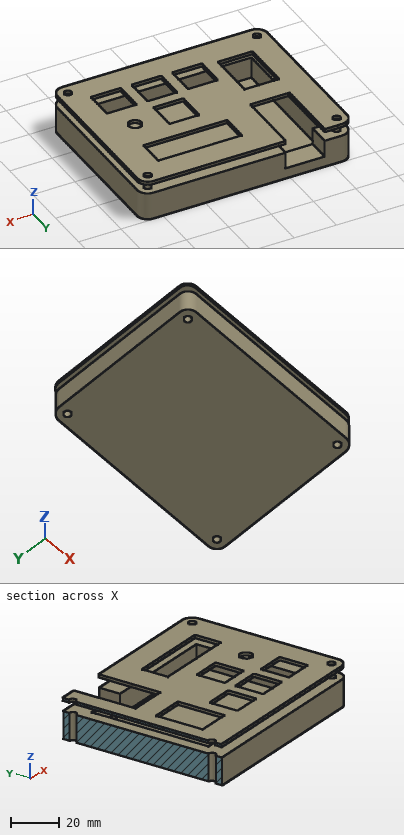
import cadquery as cq

LENGTH = 99.1
WIDTH = 79.4
CORNER_RADIUS = 5.0

BASE_HEIGHT = 13.0
COVER_GAP = 4.6
COVER_THICKNESS = 1.5
COVER_BOTTOM = BASE_HEIGHT + COVER_GAP

COVER_SHIFT_X = 0.1
COVER_SHIFT_Y = 0.3

SCREW_DIAMETER = 3.4
SCREW_SPACING_X = LENGTH - 2 * CORNER_RADIUS
SCREW_SPACING_Y = WIDTH - 2 * CORNER_RADIUS

WALL = 10.5
FLOOR = 3.0

NOTCH_WIDTH = 18.4
NOTCH_X = -27.1
COVER_NOTCH_DEPTH = 30.8
BASE_NOTCH_DROP = 7.8

DISPLAY_LENGTH = 39.5
DISPLAY_WIDTH = 12.9
DISPLAY_CENTER = (15.9, 20.9)
SIDE_WINDOW_LENGTH = 16.3
SIDE_WINDOW_WIDTH = 23.3
SIDE_WINDOW_CENTER = (-29.3, -13.8)
KNOB_DIAMETER = 6.0
KNOB_CENTER = (31.1, -1.1)

KEY_SIZE = 14.0
KEY_CORNER_RADIUS = 0.3
KEY_PITCH = 19.1
MIDDLE_KEY_X = 11.5
LOWER_KEY_Y = -20.5
KEY_CENTERS = [(MIDDLE_KEY_X + column * KEY_PITCH, LOWER_KEY_Y) for column in (-1, 0, 1)]
KEY_CENTERS.append((MIDDLE_KEY_X, LOWER_KEY_Y + KEY_PITCH))


def rounded_slab(thickness):
    """Slab with rounded corners and four screw holes, standing on Z = 0."""
    return (
        cq.Workplane("XY")
        .rect(LENGTH, WIDTH)
        .extrude(thickness)
        .edges("|Z")
        .fillet(CORNER_RADIUS)
        .faces(">Z")
        .workplane(origin=(0, 0, thickness))
        .rect(SCREW_SPACING_X, SCREW_SPACING_Y, forConstruction=True)
        .vertices()
        .hole(SCREW_DIAMETER)
    )


def rear_notch(depth, bottom, height):
    """Cutter that opens the rear edge, reaching forward by depth."""
    return (
        cq.Workplane("XY", origin=(NOTCH_X, WIDTH / 2 - depth / 2, bottom))
        .rect(NOTCH_WIDTH, depth)
        .extrude(height)
    )


def window(length, width, center):
    """Rectangular cutter through the cover."""
    return cq.Workplane("XY").center(*center).rect(length, width).extrude(COVER_THICKNESS)


def make_base():
    """Open tray with thick walls and a lowered step in the rear wall."""
    cavity = (
        cq.Workplane("XY", origin=(0, 0, FLOOR))
        .rect(LENGTH - 2 * WALL, WIDTH - 2 * WALL)
        .extrude(BASE_HEIGHT - FLOOR)
    )
    step = rear_notch(WALL, BASE_HEIGHT - BASE_NOTCH_DROP, BASE_NOTCH_DROP)
    return rounded_slab(BASE_HEIGHT).cut(cavity).cut(step)


def make_cover():
    """Thin plate with the notch, the windows and the knob hole."""
    cover = rounded_slab(COVER_THICKNESS)
    cover = cover.cut(rear_notch(COVER_NOTCH_DEPTH, 0, COVER_THICKNESS))
    cover = cover.cut(window(DISPLAY_LENGTH, DISPLAY_WIDTH, DISPLAY_CENTER))
    cover = cover.cut(window(SIDE_WINDOW_LENGTH, SIDE_WINDOW_WIDTH, SIDE_WINDOW_CENTER))
    for center in KEY_CENTERS:
        key_window = window(KEY_SIZE, KEY_SIZE, center).edges("|Z").fillet(KEY_CORNER_RADIUS)
        cover = cover.cut(key_window)
    knob_hole = cq.Workplane("XY").center(*KNOB_CENTER).circle(KNOB_DIAMETER / 2).extrude(COVER_THICKNESS)
    cover = cover.cut(knob_hole)
    return cover.translate((COVER_SHIFT_X, COVER_SHIFT_Y, COVER_BOTTOM))


base = make_base()
cover = make_cover()
result = cq.Compound.makeCompound([base.val(), cover.val()])